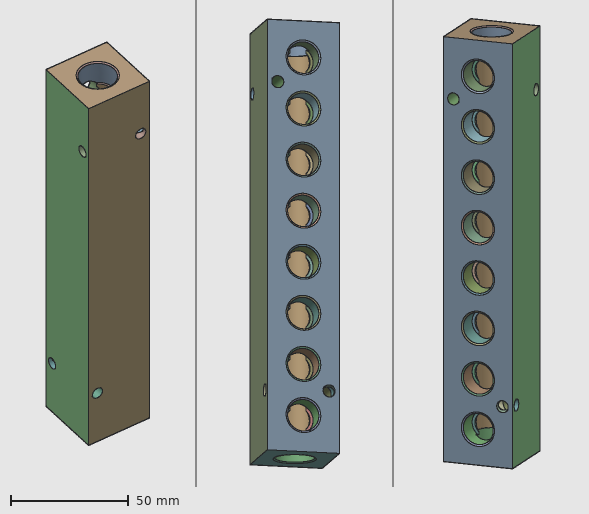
import cadquery as cq

length = 187.3
side = 31.7
half_length = length / 2
half_side = side / 2

bore_diameter = 14.0
end_mouth_diameter = 18.4
end_floor_diameter = 16.1
end_port_depth = 10.7

port_count = 8
port_pitch = 22.22
port_mouth_diameter = 15.2
port_floor_diameter = 13.1
port_depth = 9.7
pilot_diameter = 10.5

countersink_width = 0.7
countersink_depth = 0.47

mount_diameter = 5.2
mount_offset = 11.2
mount_height = 66.7


def tapered_port(mouth_diameter, floor_diameter, depth):
    """Flat-bottomed cutter with its mouth at Z = 0, narrowing downwards."""
    mouth_radius = mouth_diameter / 2
    profile = [
        (0, 0),
        (mouth_radius, 0),
        (mouth_radius - countersink_width, -countersink_depth),
        (floor_diameter / 2, -depth),
        (0, -depth),
    ]
    return cq.Workplane("XZ").polyline(profile).close().revolve(360, (0, 0, 0), (0, 1, 0))


def cut_main_bore(bar):
    bore = cq.Workplane("XY", origin=(0, 0, -half_length)).circle(bore_diameter / 2).extrude(length)
    top_port = tapered_port(end_mouth_diameter, end_floor_diameter, end_port_depth)
    top_port = top_port.translate((0, 0, half_length))
    return bar.cut(bore).cut(top_port).cut(top_port.mirror("XY"))


def cut_side_ports(bar):
    pilot = cq.Workplane("XY").circle(pilot_diameter / 2).extrude(-half_side)
    port = tapered_port(port_mouth_diameter, port_floor_diameter, port_depth).union(pilot)
    port = port.rotate((0, 0, 0), (0, 1, 0), -90).translate((-half_side, 0, 0))
    lowest = -(port_count - 1) / 2 * port_pitch
    for index in range(port_count):
        bar = bar.cut(port.translate((0, 0, lowest + index * port_pitch)))
    return bar


def cut_mounting_holes(bar):
    for plane in ("XZ", "YZ"):
        holes = (
            cq.Workplane(plane)
            .pushPoints([(mount_offset, mount_height), (-mount_offset, -mount_height)])
            .circle(mount_diameter / 2)
            .extrude(half_side, both=True)
        )
        bar = bar.cut(holes)
    return bar


result = cq.Workplane("XY").box(side, side, length)
result = cut_main_bore(result)
result = cut_side_ports(result)
result = cut_mounting_holes(result)